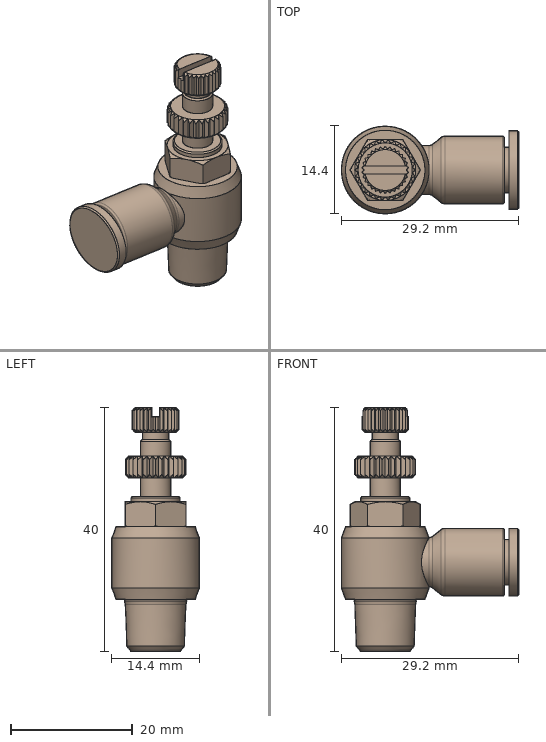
import cadquery as cq
import math

thread_lead_z = 0.32
thread_edge_z = 0.85
thread_top_z = 7.7
collar_edge_z = 8.3
body_bottom_z = 8.55
hex_bottom_z = 20.5
hex_top_z = 24.6
seat_top_z = 25.47
locknut_bottom_z = 28.5
locknut_top_z = 32.1
stem_top_z = 34.8
knob_bottom_z = 36.0
total_height = 40.05

thread_tip_radius = 4.1
thread_lead_radius = 4.3
thread_small_radius = 4.75
thread_large_radius = 5.0
collar_radius = 5.13

body_radius = 7.2
body_end_radius = 6.53
body_taper = 1.9

hex_flats = 10.0
hex_corner_radius = hex_flats / 2 / math.cos(math.radians(30))
hex_chamfer_angle = 30.0
hex_bottom_edge = 0.12

seat_radius = 4.05
seat_chamfer = 0.25
stem_diameter = 5.0
stem_radius = stem_diameter / 2
stem_chamfer = 0.3
neck_radius = 2.15

locknut_radius = 5.0
locknut_root_radius = 4.45
locknut_teeth = 30
locknut_chamfer = 0.55
knob_radius = 3.85
knob_root_radius = 3.5
knob_teeth = 30
knob_chamfer = 0.5
slot_width = 1.25
slot_depth = 1.5

arm_z = 14.65
arm_neck_radius = 4.05
barrel_radius = 5.55
cone_start_x = 7.53
cone_end_x = 9.45
cone_blend_radius = 0.95
barrel_end_x = 19.6
barrel_end_fillet = 0.32
sleeve_radius = 3.75
flange_start_x = 20.3
arm_end_x = 21.95
flange_half_width = 6.5
flange_chamfer = 0.25


def turned(profile):
    """Revolve a closed (radius, z) profile about the Z axis."""
    return cq.Workplane("XZ").polyline(profile).close().revolve(360, (0, 0), (0, 1))


def chamfered_disc(radius, bottom, top, bottom_chamfer, top_chamfer):
    disc = cq.Workplane("XY").workplane(offset=bottom).circle(radius).extrude(top - bottom)
    if bottom_chamfer:
        disc = disc.faces("<Z").chamfer(bottom_chamfer)
    if top_chamfer:
        disc = disc.faces(">Z").chamfer(top_chamfer)
    return disc


def knurled_wheel(tip_radius, root_radius, teeth, bottom, top, chamfer):
    """Wheel with straight pointed teeth, a groove facing +X, and chamfered rims."""
    half_pitch = math.pi / teeth
    outline = []
    for i in range(2 * teeth):
        radius = tip_radius if i % 2 else root_radius
        outline.append((radius * math.cos(i * half_pitch), radius * math.sin(i * half_pitch)))
    toothed = cq.Workplane("XY").workplane(offset=bottom).polyline(outline).close().extrude(top - bottom)
    return toothed.intersect(chamfered_disc(tip_radius, bottom, top, chamfer, chamfer))


def body():
    """Tapered thread with its collar, and the barrel-shaped main body."""
    return turned([
        (0, 0),
        (thread_tip_radius, 0),
        (thread_lead_radius, thread_lead_z),
        (thread_small_radius, thread_edge_z),
        (thread_large_radius, thread_top_z),
        (collar_radius, collar_edge_z),
        (thread_large_radius, body_bottom_z),
        (body_end_radius, body_bottom_z),
        (body_radius, body_bottom_z + body_taper),
        (body_radius, hex_bottom_z - body_taper),
        (body_end_radius, hex_bottom_z),
        (0, hex_bottom_z),
    ])


def hexagon():
    """Hexagon with corners on X, its corners turned down at the top and slightly at the bottom."""
    prism = (cq.Workplane("XY").workplane(offset=hex_bottom_z)
             .polygon(6, 2 * hex_corner_radius).extrude(hex_top_z - hex_bottom_z))
    slope = math.tan(math.radians(hex_chamfer_angle))
    top_drop = (hex_corner_radius - hex_flats / 2) * slope
    envelope = turned([
        (0, hex_bottom_z),
        (hex_corner_radius - hex_bottom_edge / slope, hex_bottom_z),
        (hex_corner_radius, hex_bottom_z + hex_bottom_edge),
        (hex_corner_radius, hex_top_z - top_drop),
        (hex_flats / 2, hex_top_z),
        (0, hex_top_z),
    ])
    return prism.intersect(envelope)


def stem():
    """Seat ring, adjusting stem and the thinner neck under the knob."""
    seat = chamfered_disc(seat_radius, hex_top_z, seat_top_z, 0, seat_chamfer)
    shaft = chamfered_disc(stem_radius, seat_top_z, stem_top_z, 0, stem_chamfer)
    neck = chamfered_disc(neck_radius, stem_top_z, knob_bottom_z, 0, 0)
    return seat.union(shaft).union(neck)


def locknut():
    wheel = knurled_wheel(locknut_radius, locknut_root_radius, locknut_teeth,
                          locknut_bottom_z, locknut_top_z, locknut_chamfer)
    return wheel.rotate((0, 0, 0), (0, 0, 1), 180 / locknut_teeth)


def knob():
    """Knurled knob with a screwdriver slot along X."""
    wheel = knurled_wheel(knob_radius, knob_root_radius, knob_teeth,
                          knob_bottom_z, total_height, knob_chamfer)
    slot = (cq.Workplane("XY").workplane(offset=total_height - slot_depth)
            .rect(2 * knob_radius, slot_width).extrude(slot_depth))
    return wheel.cut(slot)


def arm():
    """Side barrel on a coned neck, with a sleeve and an oval release flange at its end."""
    cone_angle = math.atan2(barrel_radius - arm_neck_radius, cone_end_x - cone_start_x)
    tangent = cone_blend_radius * math.tan(cone_angle / 2)
    tangent_x = tangent * math.cos(cone_angle)
    tangent_r = tangent * math.sin(cone_angle)
    barrel = (
        cq.Workplane("XZ", origin=(0, 0, arm_z))
        .lineTo(0, arm_neck_radius)
        .lineTo(cone_start_x - tangent, arm_neck_radius)
        .tangentArcPoint((cone_start_x + tangent_x, arm_neck_radius + tangent_r), relative=False)
        .lineTo(cone_end_x - tangent_x, barrel_radius - tangent_r)
        .tangentArcPoint((cone_end_x + tangent, barrel_radius), relative=False)
        .lineTo(barrel_end_x, barrel_radius)
        .lineTo(barrel_end_x, 0)
        .close()
        .revolve(360, (0, 0), (1, 0))
        .faces(">X").edges().fillet(barrel_end_fillet)
    )
    sleeve = (cq.Workplane("YZ", origin=(barrel_end_x, 0, arm_z))
              .circle(sleeve_radius).extrude(flange_start_x - barrel_end_x))
    flange = (cq.Workplane("YZ", origin=(flange_start_x, 0, arm_z))
              .ellipse(flange_half_width, barrel_radius).extrude(arm_end_x - flange_start_x)
              .faces(">X").chamfer(flange_chamfer))
    return barrel.union(sleeve).union(flange)


result = body().union(hexagon()).union(stem()).union(locknut()).union(knob()).union(arm())